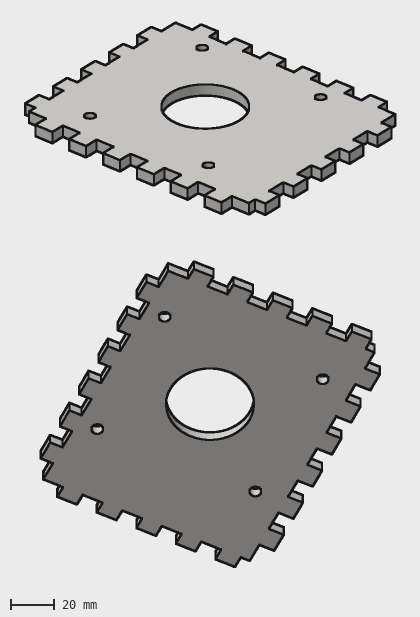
import cadquery as cq

thickness = 6.0
body_width = 130.0
body_depth = 104.5

tab_width = 10.0
tab_pitch = 2 * tab_width
first_tab_center = tab_width + tab_width / 2
side_tab_length = thickness
upper_tab_length = 6.2
lower_tab_length = 7.5
tabs_along_x = 6
tabs_along_y = 5

opening_center_x = 58.9
opening_center_y = -49.8
opening_diameter = 40.0
screw_hole_diameter = 5.3
screw_spacing_x = 70.0
screw_spacing_y = 80.0


def slab(x_min, y_min, width, depth):
    """Block of full plate thickness placed by its (-X, -Y) corner."""
    block = cq.Workplane("XY").box(width, depth, thickness, centered=False)
    return block.translate((x_min, y_min, 0))


def add_tabs(plate):
    """Tabs crossing the plate in full-length strips, so each strip forms two opposite tabs."""
    strip_depth = body_depth + lower_tab_length + upper_tab_length
    strip_width = body_width + 2 * side_tab_length
    for index in range(tabs_along_x):
        x_min = first_tab_center + index * tab_pitch - tab_width / 2
        plate = plate.union(slab(x_min, -body_depth - lower_tab_length, tab_width, strip_depth))
    for index in range(tabs_along_y):
        y_min = -first_tab_center - index * tab_pitch - tab_width / 2
        plate = plate.union(slab(-side_tab_length, y_min, strip_width, tab_width))
    return plate


def cut_openings(plate):
    """Large central opening and the four screw holes around it, all through the plate."""
    center = cq.Workplane("XY").center(opening_center_x, opening_center_y)
    opening = center.circle(opening_diameter / 2).extrude(thickness)
    screw_holes = (
        cq.Workplane("XY")
        .center(opening_center_x, opening_center_y)
        .rect(screw_spacing_x, screw_spacing_y, forConstruction=True)
        .vertices()
        .circle(screw_hole_diameter / 2)
        .extrude(thickness)
    )
    return plate.cut(opening).cut(screw_holes)


body = slab(0, -body_depth, body_width, body_depth)
result = cut_openings(add_tabs(body)).clean()